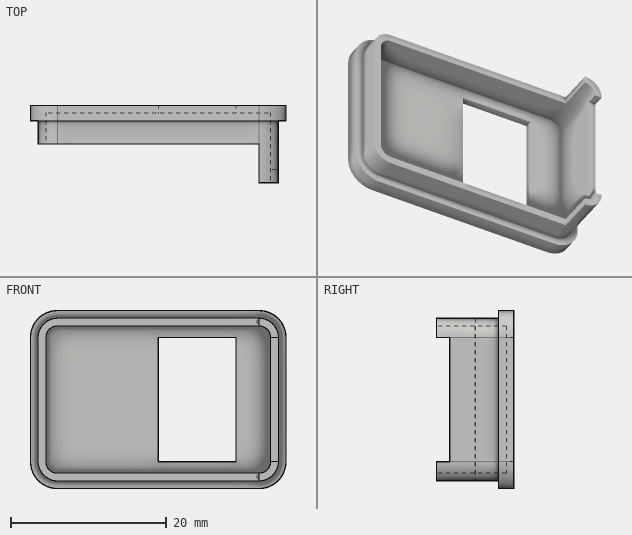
import cadquery as cq

flange_length = 33.0
flange_width = 23.0
flange_thickness = 2.0
flange_corner_radius = 3.5

rim_setback = 1.0
rim_wall = 1.0
rim_height = 3.0

floor_thickness = 1.0

corner_post_reach = 10.0
end_wall_reach = 8.3

window_length = 10.0
window_width = 16.0
window_start_x = 0.0

recess_setback = rim_setback + rim_wall
rim_reach = flange_thickness + rim_height
straight_end_x = flange_length / 2 - flange_corner_radius
straight_side_width = flange_width - 2 * flange_corner_radius


def rounded_block(setback, start, reach):
    """Flange outline moved inward by setback, filled from Y = -start to Y = -reach."""
    return (
        cq.Workplane("XZ", origin=(0, -start, 0))
        .rect(flange_length - 2 * setback, flange_width - 2 * setback)
        .extrude(reach - start)
        .edges("|Y")
        .fillet(flange_corner_radius - setback)
    )


def box_between(start_x, length, width, start, reach):
    """Box centred in Z that runs along X from start_x and from Y = -start to Y = -reach."""
    return (
        cq.Workplane("XZ", origin=(start_x + length / 2, -start, 0))
        .rect(length, width)
        .extrude(reach - start)
    )


def make_flange():
    return rounded_block(0, 0, flange_thickness)


def make_rim():
    """Rim with its +X end raised: tall corner posts joined by a lower end wall."""
    rim = rounded_block(rim_setback, flange_thickness, corner_post_reach)
    low_rim_length = flange_length / 2 + straight_end_x
    above_low_rim = box_between(
        -flange_length / 2, low_rim_length, flange_width, rim_reach, corner_post_reach
    )
    above_end_wall = box_between(
        straight_end_x, flange_corner_radius, straight_side_width, end_wall_reach, corner_post_reach
    )
    return rim.cut(above_low_rim).cut(above_end_wall)


def make_recess():
    return rounded_block(recess_setback, floor_thickness, corner_post_reach)


def make_window():
    return box_between(window_start_x, window_length, window_width, 0, flange_thickness)


result = make_flange().union(make_rim()).cut(make_recess()).cut(make_window())